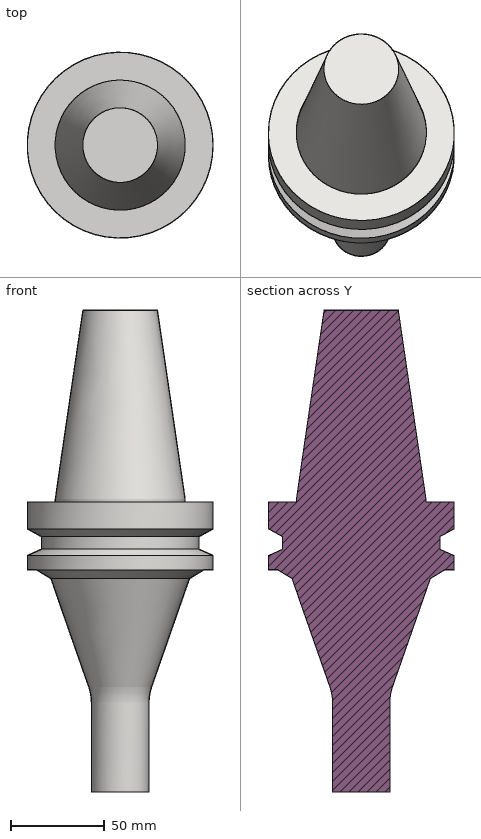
import cadquery as cq

total_length = 258.8
flange_diameter = 100.0

shank_diameter = 31
shank_length = 48.0
blend_top_diameter = 33.6
blend_height = 8.3

neck_top_diameter = 74.5
neck_top_z = 114.6

groove_diameter = 85.0
shoulder_inner_diameter = 90.0
lower_rim_bottom_z = 119.3
lower_rim_top_z = 127.0
groove_bottom_z = 130.5
groove_top_z = 137.2
upper_rim_bottom_z = 141.3
flange_top_z = 155.8

taper_base_diameter = 70
taper_tip_diameter = 40.0
collar_height = 1.5


def radius(diameter):
    return diameter / 2


blend_top_z = shank_length + blend_height

half_section = (
    cq.Workplane("XZ")
    .lineTo(radius(shank_diameter), 0)
    .lineTo(radius(shank_diameter), shank_length)
    .tangentArcPoint((radius(blend_top_diameter), blend_top_z), relative=False)
    .lineTo(radius(neck_top_diameter), neck_top_z)
    .lineTo(radius(shoulder_inner_diameter), lower_rim_bottom_z)
    .lineTo(radius(flange_diameter), lower_rim_bottom_z)
    .lineTo(radius(flange_diameter), lower_rim_top_z)
    .lineTo(radius(groove_diameter), groove_bottom_z)
    .lineTo(radius(groove_diameter), groove_top_z)
    .lineTo(radius(flange_diameter), upper_rim_bottom_z)
    .lineTo(radius(flange_diameter), flange_top_z)
    .lineTo(radius(taper_base_diameter), flange_top_z)
    .lineTo(radius(taper_base_diameter), flange_top_z + collar_height)
    .lineTo(radius(taper_tip_diameter), total_length)
    .lineTo(0, total_length)
    .close()
)

result = half_section.revolve(360, (0, 0, 0), (0, 1, 0))